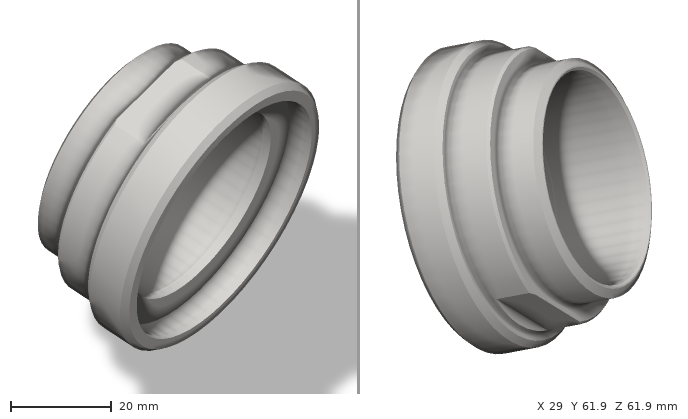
import cadquery as cq

nose_chamfer_length = 1.05
collar_start = 8.95
flange_start = 18.5
total_length = 29.0

nose_radius = 48.3 / 2
collar_radius = 56.0 / 2
flange_radius = 61.85 / 2

nose_chamfer_depth = 1.75
collar_chamfer_length = 0.6
collar_chamfer_depth = 0.5
flange_chamfer_length = 1.35
flange_chamfer_depth = 1.2
corner_fillet = 0.75

mouth_chamfer = 0.5
bore_radius = 43.3 / 2
land_radius = 43.1 / 2
counterbore_radius = 27.4
land_start = 21.0
land_lead_in = 0.25
counterbore_start = 23.3

flat_height = 26.0
flat_end = 17.0
flat_top_end = 17.55


def turned_body():
    """Revolve the stepped outer profile and the bore about the X axis."""
    profile = (
        cq.Workplane("XY")
        .moveTo(0, bore_radius + mouth_chamfer)
        .lineTo(0, nose_radius - nose_chamfer_depth)
        .lineTo(nose_chamfer_length, nose_radius)
        .lineTo(collar_start - corner_fillet, nose_radius)
        .radiusArc((collar_start, nose_radius + corner_fillet), -corner_fillet)
        .lineTo(collar_start, collar_radius - collar_chamfer_depth)
        .lineTo(collar_start + collar_chamfer_length, collar_radius)
        .lineTo(flange_start - corner_fillet, collar_radius)
        .radiusArc((flange_start, collar_radius + corner_fillet), -corner_fillet)
        .lineTo(flange_start, flange_radius - flange_chamfer_depth)
        .lineTo(flange_start + flange_chamfer_length, flange_radius)
        .lineTo(total_length - flange_chamfer_length, flange_radius)
        .lineTo(total_length, flange_radius - flange_chamfer_depth)
        .lineTo(total_length, counterbore_radius)
        .lineTo(counterbore_start, counterbore_radius)
        .lineTo(counterbore_start, land_radius)
        .lineTo(land_start + land_lead_in, land_radius)
        .lineTo(land_start, bore_radius)
        .lineTo(mouth_chamfer, bore_radius)
        .close()
    )
    return profile.revolve(360, (0, 0, 0), (1, 0, 0))


def flat_cutter():
    """Material above the upper flat, ending in a sloped shoulder."""
    return (
        cq.Workplane("XZ")
        .moveTo(collar_start, flat_height)
        .lineTo(flat_end, flat_height)
        .lineTo(flat_top_end, collar_radius)
        .lineTo(collar_start, collar_radius)
        .close()
        .extrude(collar_radius, both=True)
    )


upper_cutter = flat_cutter()
lower_cutter = upper_cutter.mirror("XY")
result = turned_body().cut(upper_cutter).cut(lower_cutter)